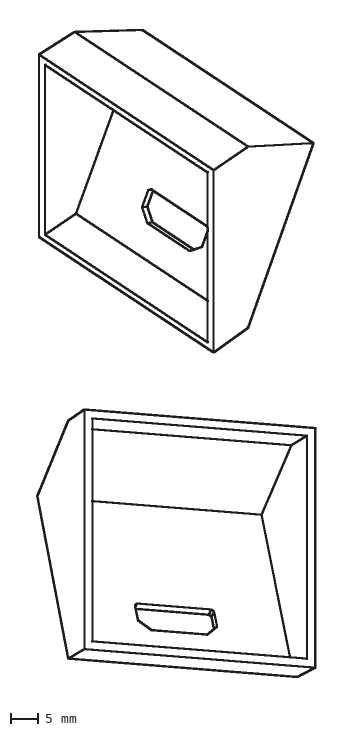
import cadquery as cq
import math

size = 45.0
depth = 26.5
wall = 1.58
draft = math.radians(1.0)

straight_depth = 9.15
apex_height = 34.4
half = size / 2
taper = straight_depth * math.tan(draft)
back_rise = apex_height - taper
back_run = depth - straight_depth
roof_drop = size - taper - apex_height
back_length = math.hypot(back_run, back_rise)
roof_length = math.hypot(back_run, roof_drop)

slot_width = 15.4
slot_floor_width = 10.85
slot_height = 6.08
slot_bottom_height = 7.25
slot_lower_corner = 2.05
slot_upper_corner = 0.45
cut_margin = 2.25


def back_inner_y(z):
    """Depth of the inner face of the sloping back wall at height z."""
    outer_y = straight_depth + (z - taper) * back_run / back_rise
    return outer_y - wall * back_length / back_rise


def roof_inner_y(z):
    """Depth of the inner face of the sloping roof at height z."""
    outer_y = straight_depth + (size - taper - z) * back_run / roof_drop
    return outer_y - wall * roof_length / roof_drop


def side_prism(points, width):
    """Extrude a (Y, Z) outline symmetrically about X = 0."""
    return cq.Workplane("YZ").polyline(points).close().extrude(width / 2, both=True)


def make_outer_block():
    profile = side_prism(
        [
            (0, 0),
            (straight_depth, taper),
            (depth, apex_height),
            (straight_depth, size - taper),
            (0, size),
        ],
        size,
    )
    back_half = half - depth * math.tan(draft)
    tapered_plan = (
        cq.Workplane("XY")
        .polyline([(-half, 0), (half, 0), (back_half, depth), (-back_half, depth)])
        .close()
        .extrude(size)
    )
    return profile.intersect(tapered_plan)


def make_cavity():
    floor = wall
    ceiling = size - wall
    gap_floor = roof_inner_y(floor) - back_inner_y(floor)
    closing_rate = back_run / back_rise + back_run / roof_drop
    ridge_z = floor + gap_floor / closing_rate
    return side_prism(
        [
            (0, floor),
            (back_inner_y(floor), floor),
            (back_inner_y(ridge_z), ridge_z),
            (roof_inner_y(ceiling), ceiling),
            (0, ceiling),
        ],
        size - 2 * wall,
    )


def make_slot():
    back_plane = cq.Plane(
        origin=(0, back_inner_y(slot_bottom_height), slot_bottom_height),
        xDir=(-1, 0, 0),
        normal=(0, back_rise, -back_run),
    )
    side = slot_width / 2
    floor_side = slot_floor_width / 2
    return (
        cq.Workplane(back_plane)
        .workplane(offset=-cut_margin)
        .polyline(
            [
                (-floor_side, 0),
                (floor_side, 0),
                (side, slot_lower_corner),
                (side, slot_height - slot_upper_corner),
                (side - slot_upper_corner, slot_height),
                (-side + slot_upper_corner, slot_height),
                (-side, slot_height - slot_upper_corner),
                (-side, slot_lower_corner),
            ]
        )
        .close()
        .extrude(wall + 2 * cut_margin)
    )


housing = make_outer_block().cut(make_cavity()).cut(make_slot())

result = cq.Compound.makeCompound([housing.val()])